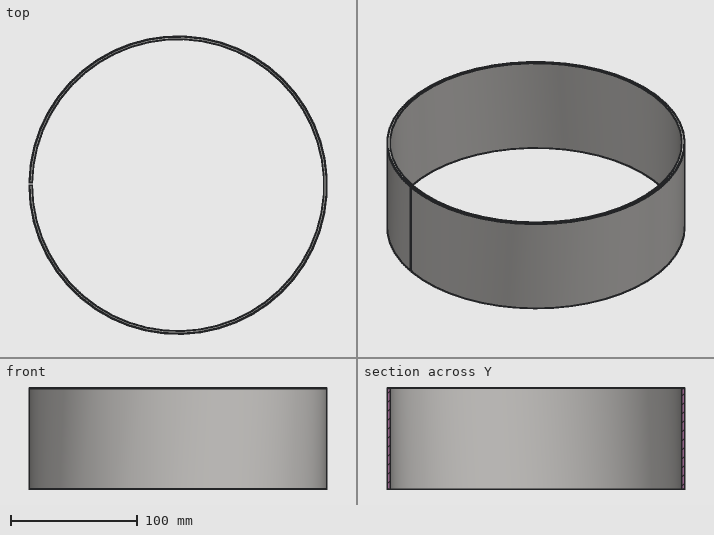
import cadquery as cq

outer_diameter = 235.0
wall_thickness = 2.5
height = 80.0
outer_chamfer = 0.5
inner_chamfer = 0.2
slit_angle = 1.0

outer_radius = outer_diameter / 2
inner_radius = outer_radius - wall_thickness


def wall_section():
    """Bevelled cross-section of the wall, in the XZ plane on the -X side."""
    corners = [
        (-outer_radius, outer_chamfer),
        (-outer_radius + outer_chamfer, 0),
        (-inner_radius - inner_chamfer, 0),
        (-inner_radius, inner_chamfer),
        (-inner_radius, height - inner_chamfer),
        (-inner_radius - inner_chamfer, height),
        (-outer_radius + outer_chamfer, height),
        (-outer_radius, height - outer_chamfer),
    ]
    return cq.Workplane("XZ").polyline(corners).close()


def split_band():
    """Section swept about Z from -X through -Y, leaving a radial slit on the +Y side of the -X axis."""
    axis_start = (0, 0)
    axis_end = (0, 1)
    return wall_section().revolve(360 - slit_angle, axis_start, axis_end)


result = split_band()